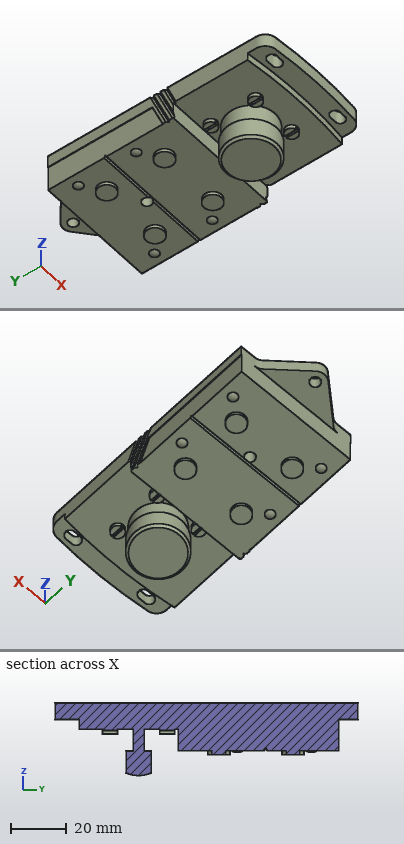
import cadquery as cq
import math


WIDTH = 54.0
LENGTH = 116.39
PLATE_THICKNESS = 6.0
HALF_WIDTH = WIDTH / 2
REAR_TIP_Y = LENGTH / 2
FRONT_Y = -LENGTH / 2
TAB_LENGTH = 14.6
SHOULDER_Y = REAR_TIP_Y - TAB_LENGTH
FRONT_ARC_RADIUS = 230.0
FRONT_CORNER_RADIUS = 5.0

TAB_TIP_RADIUS = 4.6
TAB_EDGE_ANGLE = 40.7
TAB_ROOT_RADIUS = 4.2
HOLE_DIAMETER = 4.3
REAR_HOLE_Y = REAR_TIP_Y - TAB_TIP_RADIUS
HOLE_SPACING = 33.9

SLOT_SPACING = 36.0
SLOT_LENGTH = 7.2
SLOT_SETBACK = 5.0
SLOT_Y = FRONT_Y + SLOT_SETBACK

DECK_Z = -9.4
DECK_SETBACK = 8.6
DECK_FRONT_Y = FRONT_Y + DECK_SETBACK
HOUSING_Z = -17.1
HOUSING_FRONT_Y = -13.9

CROSS_GROOVE_Y = 17.4
CROSS_GROOVE_WIDTH = 1.0
CROSS_GROOVE_DEPTH = 1.0

SLANT_ANGLE = 22.6
GROOVE_COUNT = 3
GROOVE_PITCH = 3.1
GROOVE_WIDTH = 1.6
GROOVE_DEPTH = 0.85
FIRST_GROOVE_TOP_Y = -3.4
PANEL_TOP_Z = -5.6
PANEL_FRONT_TOP_Y = -4.3
PANEL_DEPTH = 0.2

BOTTOM_Z = -26.11
CONNECTOR_Y = -28.0
NECK_RADIUS = 10.9
RING_RADIUS = 11.65
RING_CHAMFER = 1.0

SCREW_PITCH = 20.5
SCREW_DIAMETER = 5.5
SCREW_HEIGHT = 1.75
DRIVER_SLOT_WIDTH = 0.9
DRIVER_SLOT_DEPTH = 1.25

CAP_SPACING = 27.5
CAP_DIAMETER = 8.0
CAP_HEIGHT = 1.5
CAP_ROWS_Y = (0.65, 27.15)
DOME_SPACING = 43.4
DOME_DIAMETER = 4.0
DOME_HEIGHT = 0.6
DOME_OFFSET_Y = 6.6


def arc_sagitta(radius, half_chord):
    return radius - math.sqrt(radius**2 - half_chord**2)


def bowed_slab(front_y, bottom_z):
    """Full-width slab from the top face down, from a bowed front edge to the rear shoulders."""
    corner_y = front_y + arc_sagitta(FRONT_ARC_RADIUS, HALF_WIDTH)
    return (
        cq.Workplane("XY", origin=(0, 0, bottom_z))
        .moveTo(-HALF_WIDTH, SHOULDER_Y)
        .lineTo(-HALF_WIDTH, corner_y)
        .threePointArc((0, front_y), (HALF_WIDTH, corner_y))
        .lineTo(HALF_WIDTH, SHOULDER_Y)
        .close()
        .extrude(-bottom_z)
    )


def make_tab():
    """Triangular hanging tab, rounded at its tip and blended into the shoulders."""
    angle = math.radians(TAB_EDGE_ANGLE)
    tangent_x = TAB_TIP_RADIUS * math.sin(angle)
    tangent_y = REAR_HOLE_Y + TAB_TIP_RADIUS * math.cos(angle)
    root_x = tangent_x + (tangent_y - SHOULDER_Y) / math.tan(angle)
    blend = TAB_ROOT_RADIUS * math.tan(angle / 2)
    outer_x = root_x + blend
    inner_x = root_x - blend * math.cos(angle)
    inner_y = SHOULDER_Y + blend * math.sin(angle)
    middle_x = outer_x - TAB_ROOT_RADIUS * math.sin(angle / 2)
    middle_y = SHOULDER_Y + TAB_ROOT_RADIUS * (1 - math.cos(angle / 2))
    return (
        cq.Workplane("XY", origin=(0, 0, -PLATE_THICKNESS))
        .moveTo(-outer_x, SHOULDER_Y)
        .threePointArc((-middle_x, middle_y), (-inner_x, inner_y))
        .lineTo(-tangent_x, tangent_y)
        .threePointArc((0, REAR_TIP_Y), (tangent_x, tangent_y))
        .lineTo(inner_x, inner_y)
        .threePointArc((middle_x, middle_y), (outer_x, SHOULDER_Y))
        .close()
        .extrude(PLATE_THICKNESS)
    )


def make_body():
    plate = bowed_slab(FRONT_Y, -PLATE_THICKNESS)
    plate = plate.edges("|Z").edges("<Y").fillet(FRONT_CORNER_RADIUS)
    deck = bowed_slab(DECK_FRONT_Y, DECK_Z)
    housing_length = SHOULDER_Y - HOUSING_FRONT_Y
    housing = cq.Workplane("XY").box(
        WIDTH, housing_length, -HOUSING_Z, centered=(True, False, False)
    ).translate((0, HOUSING_FRONT_Y, HOUSING_Z))
    return plate.union(make_tab()).union(deck).union(housing)


def cut_mounting_openings(body):
    round_holes = (
        cq.Workplane("XY")
        .pushPoints([(0, REAR_HOLE_Y), (0, REAR_HOLE_Y - HOLE_SPACING)])
        .circle(HOLE_DIAMETER / 2)
        .extrude(HOUSING_Z)
    )
    slots = (
        cq.Workplane("XY")
        .pushPoints([(-SLOT_SPACING / 2, SLOT_Y), (SLOT_SPACING / 2, SLOT_Y)])
        .slot2D(SLOT_LENGTH, HOLE_DIAMETER)
        .extrude(DECK_Z)
    )
    return body.cut(round_holes).cut(slots)


def cut_cross_groove(body):
    groove = (
        cq.Workplane("YZ")
        .moveTo(CROSS_GROOVE_Y - CROSS_GROOVE_WIDTH / 2, HOUSING_Z)
        .lineTo(CROSS_GROOVE_Y, HOUSING_Z + CROSS_GROOVE_DEPTH)
        .lineTo(CROSS_GROOVE_Y + CROSS_GROOVE_WIDTH / 2, HOUSING_Z)
        .close()
        .extrude(HALF_WIDTH, both=True)
    )
    return body.cut(groove)


def slant_shift(height):
    """Forward shift of a slanted side line over a drop of the given height."""
    return height * math.tan(math.radians(SLANT_ANGLE))


def cut_both_sides(body, cutter):
    """Cut a shape made for the left side, and its mirror image, from the body."""
    return body.cut(cutter).cut(cutter.mirror("YZ"))


def slanted_groove(top_rear_y):
    """V-shaped groove down the left side, leaning forward towards the bottom."""
    groove = (
        cq.Workplane("XY")
        .moveTo(-HALF_WIDTH, top_rear_y)
        .lineTo(-HALF_WIDTH + GROOVE_DEPTH, top_rear_y - GROOVE_WIDTH / 2)
        .lineTo(-HALF_WIDTH, top_rear_y - GROOVE_WIDTH)
        .close()
    )
    path = cq.Workplane("YZ").lineTo(-slant_shift(-HOUSING_Z), HOUSING_Z)
    return groove.sweep(path)


def cut_side_grooves(body):
    for index in range(GROOVE_COUNT):
        groove = slanted_groove(FIRST_GROOVE_TOP_Y - index * GROOVE_PITCH)
        body = cut_both_sides(body, groove)
    return body


def cut_side_panels(body):
    panel_front_bottom_y = PANEL_FRONT_TOP_Y - slant_shift(PANEL_TOP_Z - HOUSING_Z)
    panel = (
        cq.Workplane("YZ", origin=(-HALF_WIDTH, 0, 0))
        .moveTo(SHOULDER_Y, PANEL_TOP_Z)
        .lineTo(PANEL_FRONT_TOP_Y, PANEL_TOP_Z)
        .lineTo(panel_front_bottom_y, HOUSING_Z)
        .lineTo(SHOULDER_Y, HOUSING_Z)
        .close()
        .extrude(PANEL_DEPTH)
    )
    return cut_both_sides(body, panel)


def make_connector():
    neck = (
        cq.Workplane("XY", origin=(0, CONNECTOR_Y, HOUSING_Z))
        .circle(NECK_RADIUS)
        .extrude(DECK_Z - HOUSING_Z)
    )
    ring = (
        cq.Workplane("XY", origin=(0, CONNECTOR_Y, BOTTOM_Z))
        .circle(RING_RADIUS)
        .extrude(HOUSING_Z - BOTTOM_Z)
        .faces("<Z")
        .chamfer(RING_CHAMFER)
    )
    return neck.union(ring)


def make_screw():
    """Slotted screw head hanging below the local XY plane."""
    slot = cq.Workplane("XY").box(
        DRIVER_SLOT_WIDTH, SCREW_DIAMETER, DRIVER_SLOT_DEPTH, centered=(True, True, False)
    ).translate((0, 0, -SCREW_HEIGHT))
    return cq.Workplane("XY").circle(SCREW_DIAMETER / 2).extrude(-SCREW_HEIGHT).cut(slot)


def make_cap():
    """Flat round cap hanging below the local XY plane."""
    return cq.Workplane("XY").circle(CAP_DIAMETER / 2).extrude(-CAP_HEIGHT)


def make_dome():
    """Spherical cap hanging below the local XY plane."""
    radius = DOME_DIAMETER / 2
    sphere_radius = (radius**2 + DOME_HEIGHT**2) / (2 * DOME_HEIGHT)
    sphere = cq.Workplane("XY").sphere(sphere_radius).translate((0, 0, sphere_radius - DOME_HEIGHT))
    below_plane = cq.Workplane("XY").circle(DOME_DIAMETER).extrude(-DOME_DIAMETER)
    return sphere.intersect(below_plane)


def add_in_pairs(body, feature, spacing, rows_y, face_z):
    """Join a left and a right copy of the feature to the face, at each row."""
    for y in rows_y:
        for side in (-1, 1):
            body = body.union(feature.translate((side * spacing / 2, y, face_z)))
    return body


body = make_body()
body = cut_mounting_openings(body)
body = cut_cross_groove(body)
body = cut_side_grooves(body)
body = cut_side_panels(body)
body = body.union(make_connector())

screw_rows_y = (CONNECTOR_Y - SCREW_PITCH / 2, CONNECTOR_Y + SCREW_PITCH / 2)
dome_rows_y = [row_y + DOME_OFFSET_Y for row_y in CAP_ROWS_Y]
body = add_in_pairs(body, make_screw(), SCREW_PITCH, screw_rows_y, DECK_Z)
body = add_in_pairs(body, make_cap(), CAP_SPACING, CAP_ROWS_Y, HOUSING_Z)
body = add_in_pairs(body, make_dome(), DOME_SPACING, dome_rows_y, HOUSING_Z)

result = body